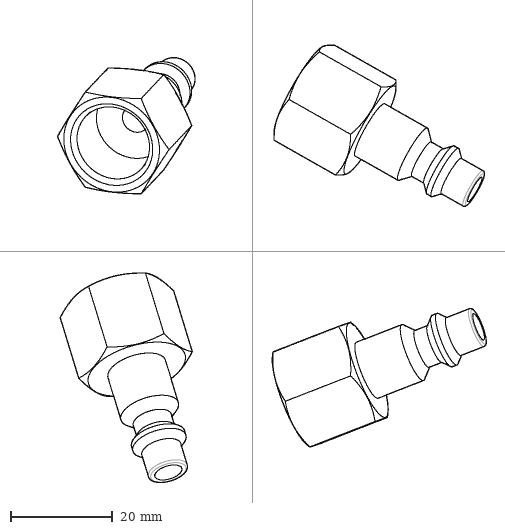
import cadquery as cq
import math

total_length = 40.0

hex_across_flats = 20.0
hex_length = 16.0
hex_face_diameter = 19.8
hex_chamfer_angle = 30.0

bore_diameter = 15.0
bore_mouth_diameter = 17.0
bore_depth = 13.0
bore_bottom_angle = 136.0
passage_diameter = 5.5

body_diameter = 11.8
body_end = 25.8
neck_diameter = 7.8
neck_end = 30.6
collar_diameter = 10.9
collar_width = 1.05
tip_diameter = 8.0
tip_edge_radius = 0.4

hex_corner_radius = hex_across_flats / math.sqrt(3)
hex_chamfer_length = (hex_corner_radius - hex_face_diameter / 2) * math.tan(math.radians(hex_chamfer_angle))
bore_chamfer = (bore_mouth_diameter - bore_diameter) / 2
bore_bottom_length = (bore_diameter - passage_diameter) / 2 / math.tan(math.radians(bore_bottom_angle / 2))

stem_root = hex_length / 2

neck_start = body_end + (body_diameter - neck_diameter) / 2
collar_start = neck_end + (collar_diameter - neck_diameter) / 2
collar_end = collar_start + collar_width
tip_start = collar_end + (collar_diameter - tip_diameter) / 2


def revolve_about_y(profile):
    """Turn a closed YZ profile (Y along the axis, Z as the radius) a full turn about the Y axis."""
    return profile.close().revolve(360, (0, 0, 0), (1, 0, 0))


def make_hex_socket():
    """Hexagonal prism with corners on the X axis and both ends turned to a cone."""
    prism = cq.Workplane("XZ").polygon(6, 2 * hex_corner_radius).extrude(-hex_length)
    face_radius = hex_face_diameter / 2
    turned_envelope = revolve_about_y(
        cq.Workplane("YZ")
        .lineTo(0, face_radius)
        .lineTo(hex_chamfer_length, hex_corner_radius)
        .lineTo(hex_length - hex_chamfer_length, hex_corner_radius)
        .lineTo(hex_length, face_radius)
        .lineTo(hex_length, 0)
    )
    return prism.intersect(turned_envelope)


def make_stem():
    """Turned plug: body, neck, locking collar and tip with a rounded end edge."""
    stem = revolve_about_y(
        cq.Workplane("YZ")
        .moveTo(stem_root, 0)
        .lineTo(stem_root, body_diameter / 2)
        .lineTo(body_end, body_diameter / 2)
        .lineTo(neck_start, neck_diameter / 2)
        .lineTo(neck_end, neck_diameter / 2)
        .lineTo(collar_start, collar_diameter / 2)
        .lineTo(collar_end, collar_diameter / 2)
        .lineTo(tip_start, tip_diameter / 2)
        .lineTo(total_length, tip_diameter / 2)
        .lineTo(total_length, 0)
    )
    return stem.faces(">Y").edges().fillet(tip_edge_radius)


def make_bore():
    """Chamfered bore with a conical bottom that leads into the through passage."""
    passage_radius = passage_diameter / 2
    return revolve_about_y(
        cq.Workplane("YZ")
        .lineTo(0, bore_mouth_diameter / 2)
        .lineTo(bore_chamfer, bore_diameter / 2)
        .lineTo(bore_depth, bore_diameter / 2)
        .lineTo(bore_depth + bore_bottom_length, passage_radius)
        .lineTo(total_length, passage_radius)
        .lineTo(total_length, 0)
    )


result = make_hex_socket().union(make_stem()).cut(make_bore())